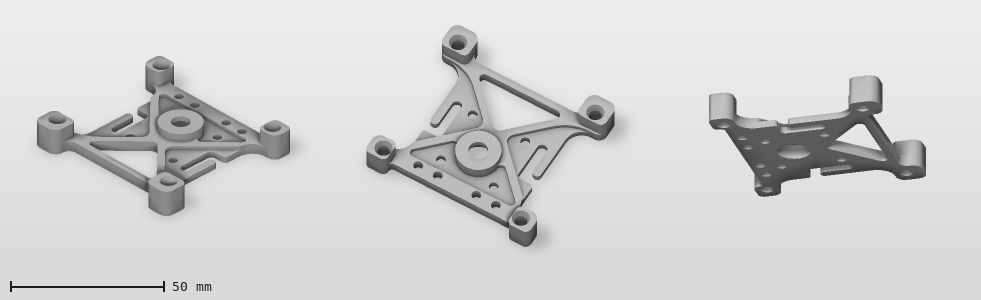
import cadquery as cq


length = 62.0
width = 57.0
post_height = 9.3
plate_height = 3.7
floor_height = 2.25
boss_height = 6.7

left_x = -length / 2
back_y = width / 2
front_y = -width / 2

outer_radius = 3.0
back_post_size = 8.0
back_post_radius = 2.0
front_post_length = 10.2
front_post_width = 9.4
front_post_foot_width = 10.05
front_post_radius = 3.2
front_post_back_radius = 1.85
post_hole_x = -26.0
post_hole_y = (24.5, -22.5)
post_hole_diameter = 4.2
post_hole_mouth_diameter = 5.9
post_hole_taper_depth = 2.2

back_edge_y = 25.05
back_edge_radius = 1.35
front_edge_y = -22.15
front_edge_radius = 2.9
side_x = -20.85
side_arc_radius = 6.0

ear_y = 8.05
ear_radius = 1.1
tine_width = 3.0
tine_tip_y = 4.6
slot_width = 3.5
slot_end_y = -7.0
slot_radius = 1.7
tine_tip_radius = 1.4

back_rib_outer_y = -6.25
back_rib_inner_y = -2.4
front_rib_outer_y = 1.25
front_rib_inner_y = -2.35
recess_inner_radius = 3.0
recess_front_radius = 16.1
recess_back_radius = 2.5
recess_overrun = 1.25

pocket_back_y = 19.4
pocket_tip_x = -9.1
pocket_tip_rise = 3.7
pocket_radius = 1.5
window_front_y = -19.65
window_apex_radius = 2.25
window_corner_radius = 1.6

boss_y = 8.05
boss_diameter = 15.0
bore_diameter = 6.4
seat_diameter = 11.0
seat_depth = 4.9

small_hole_diameter = 3.15
row_hole_x = (-14.7, -7.3)
row_hole_y = 21.5
square_hole_x = -10.0
square_hole_y = (15.0, -5.0)

back_post_x = left_x + back_post_size
back_post_y = back_y - back_post_size
front_post_x = left_x + front_post_length
front_post_y = front_y + front_post_width
front_foot_y = front_y + front_post_foot_width
tine_x = side_x + tine_width
slot_x = tine_x + slot_width


def rounded_prism(corners, z_low, z_high):
    """Prism over a polygon of (x, y, radius) corners; radius 0 stays sharp."""
    outline = [(x, y) for x, y, radius in corners]
    base = cq.Workplane("XY").workplane(offset=z_low)
    body = base.polyline(outline).close().extrude(z_high - z_low)
    for x, y, radius in corners:
        if radius > 0:
            body = round_corner(body, x, y, (z_low + z_high) / 2, radius)
    return body


def round_corner(body, x, y, z, radius):
    """Fillet the vertical edge nearest to the given point."""
    nearest = cq.selectors.NearestToPointSelector((x, y, z))
    return body.edges("|Z").edges(nearest).fillet(radius)


def cylinder(x, y, diameter, z_low, z_high):
    """Upright cylinder."""
    base = cq.Workplane("XY").workplane(offset=z_low).center(x, y)
    return base.circle(diameter / 2).extrude(z_high - z_low)


def left_outline(height):
    """Left half of the full footprint, feet of the posts included."""
    corners = [
        (left_x, front_y, outer_radius),
        (front_post_x, front_y, front_post_radius),
        (front_post_x, front_edge_y, front_edge_radius),
        (0, front_edge_y, 0),
        (0, back_edge_y, 0),
        (back_post_x, back_edge_y, back_edge_radius),
        (back_post_x, back_y, back_post_radius),
        (left_x, back_y, back_post_radius),
        (left_x, back_post_y, outer_radius),
        (side_x, back_post_y, side_arc_radius),
        (side_x, front_foot_y, side_arc_radius),
        (left_x, front_foot_y, outer_radius),
    ]
    return rounded_prism(corners, 0, height)


def side_recess():
    """Cut that lowers the side between the two ribs to the floor level."""
    mouth_x = side_x - recess_overrun
    inner_x = (back_rib_outer_y - front_rib_outer_y) / 2
    corners = [
        (mouth_x, back_rib_outer_y - mouth_x, 0),
        (inner_x, inner_x + front_rib_outer_y, recess_inner_radius),
        (front_foot_y - front_rib_outer_y, front_foot_y, recess_front_radius),
        (left_x, front_foot_y, 0),
        (left_x, ear_y, 0),
    ]
    return rounded_prism(corners, floor_height, plate_height)


def tine_gap():
    """Opening behind the tine: a slot that turns outwards below the ear."""
    corners = [
        (tine_x, slot_end_y, slot_radius),
        (slot_x, slot_end_y, slot_radius),
        (slot_x, ear_y, slot_radius),
        (left_x, ear_y, 0),
        (left_x, tine_tip_y, 0),
        (tine_x, tine_tip_y, 0),
    ]
    return rounded_prism(corners, 0, floor_height)


def back_pocket():
    """Left half of the pocket behind the boss; its inner end runs under the boss."""
    tip_y = back_rib_inner_y - pocket_tip_x
    corners = [
        (0, pocket_back_y, 0),
        (back_rib_inner_y - pocket_back_y, pocket_back_y, pocket_radius),
        (pocket_tip_x, tip_y, pocket_radius),
        (pocket_tip_x + pocket_tip_rise, tip_y + pocket_tip_rise, 0),
        (0, tip_y + pocket_tip_rise, 0),
    ]
    return rounded_prism(corners, floor_height, plate_height)


def front_window():
    """Triangular opening through the plate between the front ribs."""
    corner_x = front_rib_inner_y - window_front_y
    corners = [
        (-corner_x, window_front_y, window_corner_radius),
        (corner_x, window_front_y, window_corner_radius),
        (0, front_rib_inner_y, window_apex_radius),
    ]
    return rounded_prism(corners, 0, plate_height)


def posts():
    """The two left posts, cut from the footprint so that their outer sides are flush."""
    footprint = left_outline(post_height)
    back_corners = [
        (left_x, back_post_y, 0),
        (back_post_x, back_post_y, back_post_radius),
        (back_post_x, back_y, 0),
        (left_x, back_y, 0),
    ]
    front_corners = [
        (left_x, front_y, 0),
        (front_post_x, front_y, 0),
        (front_post_x, front_post_y, 0),
        (left_x, front_post_y, 0),
    ]
    back_post = footprint.intersect(rounded_prism(back_corners, 0, post_height))
    front_post = footprint.intersect(rounded_prism(front_corners, 0, post_height))
    for x in (left_x, front_post_x):
        front_post = round_corner(front_post, x, front_post_y, post_height / 2, front_post_back_radius)
    return back_post.union(front_post)


def post_hole(y):
    """Through hole with a tapered mouth at the top."""
    taper = (
        cq.Workplane("XY")
        .workplane(offset=post_height - post_hole_taper_depth)
        .center(post_hole_x, y)
        .circle(post_hole_diameter / 2)
        .workplane(offset=post_hole_taper_depth)
        .circle(post_hole_mouth_diameter / 2)
        .loft(ruled=True)
    )
    return cylinder(post_hole_x, y, post_hole_diameter, 0, post_height).union(taper)


def left_plate():
    """Left half of the plate, with its recessed side, spring tine and pocket."""
    plate = left_outline(plate_height).cut(side_recess())
    recess_mid_z = (floor_height + plate_height) / 2
    plate = round_corner(plate, side_x, back_rib_outer_y - side_x, recess_mid_z, recess_back_radius)
    plate = plate.cut(tine_gap()).cut(back_pocket())
    floor_mid_z = floor_height / 2
    plate = round_corner(plate, side_x, ear_y, floor_mid_z, ear_radius)
    for x in (side_x, tine_x):
        plate = round_corner(plate, x, tine_tip_y, floor_mid_z, tine_tip_radius)
    return plate


def left_holes():
    """All small holes and post holes of the left half."""
    centers = [(x, row_hole_y) for x in row_hole_x] + [(square_hole_x, y) for y in square_hole_y]
    holes = cq.Workplane("XY").pushPoints(centers).circle(small_hole_diameter / 2).extrude(plate_height)
    for y in post_hole_y:
        holes = holes.union(post_hole(y))
    return holes


left_half = left_plate().union(posts()).cut(left_holes())
frame = left_half.union(left_half.mirror("YZ"))
boss = cylinder(0, boss_y, boss_diameter, 0, boss_height)
bore = cylinder(0, boss_y, bore_diameter, 0, boss_height)
seat = cylinder(0, boss_y, seat_diameter, 0, seat_depth)

result = frame.cut(front_window()).union(boss).cut(bore).cut(seat).clean()